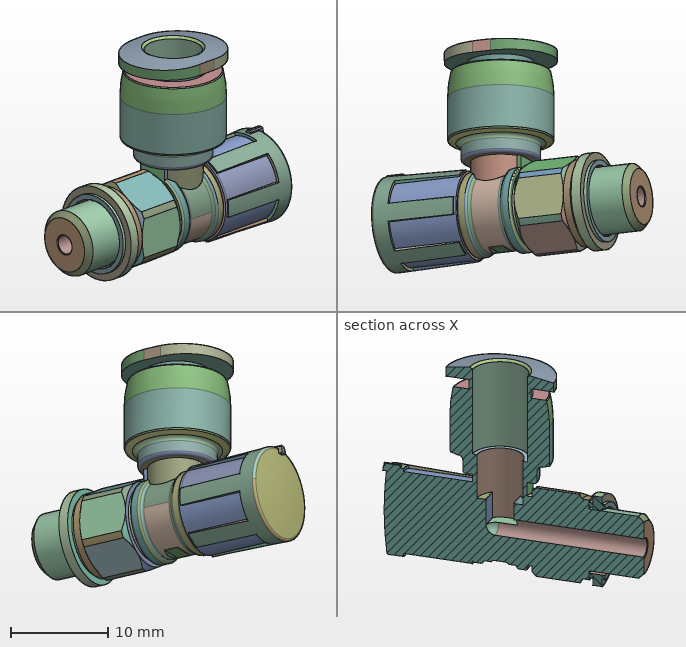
import cadquery as cq


overall_length = 28.7

tip_y = -15.85
thread_radius = 3.5
tip_radius = 2.9
tip_chamfer_length = 0.63
bore_radius = 2.0 / 2
bore_mouth_chamfer = 0.1
bore_end_centre_y = 0.5

shoulder_y = -9.8
shoulder_radius = 4.5
hex_front_y = -9.05
hex_back_y = -3.5
hex_across_flats = 2 * shoulder_radius
hex_corner_radius = 5.0
hex_end_radius = shoulder_radius
hex_front_chamfer_length = 0.25
hex_back_chamfer_length = 0.5
neck_radius = 3.93

waist_radius = 4.1
waist_half_length = 1.52
band_radius = 4.45
band_edge_fillet = 0.2
band_start = 2.12
tee_half_length = 3.0
band_curve_middle = 1.86
band_curve_middle_radius = 4.27
flat_depth = 0.2
flat_half_length = 0.77
flat_half_end_length = flat_half_length + flat_depth

grip_radius = 4.62
rim_front_y = 10.53
rim_back_y = 12.16
rim_back_radius = 5.0
dome_edge_radius = 4.73
dome_edge_y = 12.42
dome_top_y = 12.7
rib_count = 6
rib_width = 1.9
rib_start_y = 3.27
rib_start_radius = 4.8
first_rib_angle = 30

pointer_width = 0.65
pointer_chamfer = 0.15
pointer_front_y = 10.93
pointer_back_y = tip_y + overall_length
pointer_top_z = 5.25
pointer_top_back_y = 12.68
pointer_slope_bottom_z = 4.65
pointer_bottom_z = 4.35
pointer_root_y = 12.35
pointer_root_z = 4.85

stem_radius = 3.1
stem_pad_width = 3.45

collar_bottom_z = 5.4
collar_radius = 4.1
collar_edge_fillet = 0.35
collar_top_z = 6.89
flare_z = 7.35
flare_radius = 4.65
housing_corner_z = 7.57
housing_corner_radius = 5.42
housing_bottom_z = 7.75
housing_radius = 11.0 / 2
barrel_start_z = 12.16
housing_top_z = 14.98
housing_top_radius = 5.15
housing_top_chamfer = 0.11

button_sleeve_radius = 6.85 / 2
button_bottom_z = 15.98
button_top_z = 17.47
button_rim_z = 17.05
button_length = 11.82
button_width = 9.8

socket_radius = 6.0 / 2
socket_mouth_chamfer = 0.25
socket_mouth_radius = socket_radius + socket_mouth_chamfer
socket_floor_z = housing_bottom_z
passage_radius = 5.0 / 2
passage_floor_z = 2.87
slot_width = 3.05

gasket_length = 1.75
gasket_flange_length = 1.05
gasket_flange_radius = 5.05
gasket_lip_radius = 4.25
gasket_hole_radius = 3.7
tab_count = 5
tab_width = 1.4
first_tab_angle = 90


def ring_about_y(inner_radius, outer_radius, start_y, end_y):
    """A plain ring around the body axis."""
    return (
        cq.Workplane("XZ", origin=(0, start_y, 0))
        .circle(outer_radius)
        .circle(inner_radius)
        .extrude(start_y - end_y)
    )


def make_turned_core():
    """Everything round about the body axis, from thread tip to knob, without the hexagon."""
    band_face_radius = band_radius - band_edge_fillet
    band_edge_y = tee_half_length - band_edge_fillet
    dome_middle_radius = dome_edge_radius / 2
    dome_middle_y = dome_top_y - (dome_top_y - dome_edge_y) / 4
    profile = (
        cq.Workplane("XY")
        .moveTo(0, tip_y)
        .lineTo(tip_radius, tip_y)
        .lineTo(thread_radius, tip_y + tip_chamfer_length)
        .lineTo(thread_radius, shoulder_y)
        .lineTo(shoulder_radius, shoulder_y)
        .lineTo(shoulder_radius, hex_front_y)
        .lineTo(neck_radius, hex_front_y)
        .lineTo(neck_radius, -tee_half_length)
        .lineTo(band_face_radius, -tee_half_length)
        .radiusArc((band_radius, -band_edge_y), -band_edge_fillet)
        .lineTo(band_radius, -band_start)
        .tangentArcPoint((band_curve_middle_radius, -band_curve_middle), relative=False)
        .tangentArcPoint((waist_radius, -waist_half_length), relative=False)
        .lineTo(waist_radius, waist_half_length)
        .tangentArcPoint((band_curve_middle_radius, band_curve_middle), relative=False)
        .tangentArcPoint((band_radius, band_start), relative=False)
        .lineTo(band_radius, band_edge_y)
        .radiusArc((band_face_radius, tee_half_length), -band_edge_fillet)
        .lineTo(grip_radius, tee_half_length)
        .lineTo(grip_radius, rib_start_y)
        .lineTo(rib_start_radius, rib_start_y)
        .lineTo(rim_back_radius, rim_back_y)
        .tangentArcPoint((dome_edge_radius, dome_edge_y), relative=False)
        .threePointArc((dome_middle_radius, dome_middle_y), (0, dome_top_y))
        .close()
    )
    return profile.revolve(360, (0, 0, 0), (0, 1, 0))


def make_hexagon():
    """Hexagon with two faces square to X, its corners turned off and both ends chamfered."""
    prism = (
        cq.Workplane("XZ", origin=(0, hex_back_y, 0))
        .polygon(6, hex_across_flats, circumscribed=True)
        .extrude(hex_back_y - hex_front_y)
    )
    envelope = (
        cq.Workplane("XY")
        .moveTo(0, hex_front_y)
        .lineTo(hex_end_radius, hex_front_y)
        .lineTo(hex_corner_radius, hex_front_y + hex_front_chamfer_length)
        .lineTo(hex_corner_radius, hex_back_y - hex_back_chamfer_length)
        .lineTo(hex_end_radius, hex_back_y)
        .lineTo(0, hex_back_y)
        .close()
        .revolve(360, (0, 0, 0), (0, 1, 0))
    )
    return prism.intersect(envelope)


def make_grip_recesses():
    """Recesses between the knob ribs, as a ring with a bar left out for each rib."""
    rib_length = rim_front_y - rib_start_y
    recesses = ring_about_y(grip_radius, rim_back_radius, rib_start_y, rim_front_y)
    bar = (
        cq.Workplane("XY")
        .box(rib_width, rib_length, rim_back_radius, centered=(True, False, False))
        .translate((0, rib_start_y, 0))
    )
    for index in range(rib_count):
        angle = first_rib_angle + index * 360 / rib_count
        recesses = recesses.cut(bar.rotate((0, 0, 0), (0, 1, 0), angle))
    return recesses


def make_pointer():
    """Small index mark that wraps over the top edge of the knob."""
    return (
        cq.Workplane("YZ")
        .moveTo(pointer_front_y, pointer_root_z)
        .lineTo(pointer_front_y, pointer_top_z)
        .lineTo(pointer_top_back_y, pointer_top_z)
        .lineTo(pointer_back_y, pointer_slope_bottom_z)
        .lineTo(pointer_back_y, pointer_bottom_z)
        .lineTo(pointer_root_y, pointer_bottom_z)
        .lineTo(pointer_root_y, pointer_root_z)
        .close()
        .extrude(pointer_width / 2, both=True)
        .faces(">Z")
        .edges("|Y")
        .chamfer(pointer_chamfer)
    )


def make_stem():
    """Upright stem with a flat pad at the front, flush with the end of the tee."""
    stem = cq.Workplane("XY").circle(stem_radius).extrude(collar_bottom_z)
    pad = (
        cq.Workplane("XY")
        .rect(stem_pad_width, tee_half_length)
        .extrude(collar_bottom_z)
        .translate((0, -tee_half_length / 2, 0))
    )
    limit = cq.Workplane("XY").rect(2 * stem_radius, 2 * tee_half_length).extrude(collar_bottom_z)
    return stem.union(pad).intersect(limit)


def make_housing():
    """Round port housing, with the sleeve of the release button standing out of it."""
    barrel_top_z = housing_top_z - housing_top_chamfer
    barrel_middle_z = (barrel_start_z + barrel_top_z) / 2
    barrel_middle_radius = housing_radius - (housing_radius - housing_top_radius) / 4
    return (
        cq.Workplane("XZ")
        .moveTo(0, collar_bottom_z)
        .lineTo(collar_radius - collar_edge_fillet, collar_bottom_z)
        .radiusArc((collar_radius, collar_bottom_z + collar_edge_fillet), -collar_edge_fillet)
        .lineTo(collar_radius, collar_top_z)
        .tangentArcPoint((flare_radius, flare_z), relative=False)
        .lineTo(housing_corner_radius, housing_corner_z)
        .lineTo(housing_radius, housing_bottom_z)
        .lineTo(housing_radius, barrel_start_z)
        .threePointArc((barrel_middle_radius, barrel_middle_z), (housing_top_radius, barrel_top_z))
        .lineTo(housing_top_radius - housing_top_chamfer, housing_top_z)
        .lineTo(button_sleeve_radius, housing_top_z)
        .lineTo(button_sleeve_radius, button_bottom_z)
        .lineTo(0, button_bottom_z)
        .close()
        .revolve(360, (0, 0, 0), (0, 1, 0))
    )


def make_button_flange():
    """Oblong flange of the release button, with a shallow conical top."""
    flange_height = button_top_z - button_bottom_z
    oblong = (
        cq.Workplane("XY", origin=(0, 0, button_bottom_z))
        .slot2D(button_length, button_width, 90)
        .extrude(flange_height)
    )
    cone = (
        cq.Workplane("XZ")
        .moveTo(0, button_bottom_z)
        .lineTo(button_length / 2, button_bottom_z)
        .lineTo(button_length / 2, button_rim_z)
        .lineTo(socket_mouth_radius, button_top_z)
        .lineTo(0, button_top_z)
        .close()
        .revolve(360, (0, 0, 0), (0, 1, 0))
    )
    return oblong.intersect(cone)


def make_socket():
    """Tube socket, the passage below it and the slot that opens into the bore."""
    round_part = (
        cq.Workplane("XZ")
        .moveTo(0, passage_floor_z)
        .lineTo(passage_radius, passage_floor_z)
        .lineTo(passage_radius, socket_floor_z)
        .lineTo(socket_radius, socket_floor_z)
        .lineTo(socket_radius, button_top_z - socket_mouth_chamfer)
        .lineTo(socket_mouth_radius, button_top_z)
        .lineTo(0, button_top_z)
        .close()
        .revolve(360, (0, 0, 0), (0, 1, 0))
    )
    slot = (
        cq.Workplane("XY")
        .circle(passage_radius)
        .extrude(passage_floor_z)
        .intersect(cq.Workplane("XY").rect(2 * passage_radius, slot_width).extrude(passage_floor_z))
    )
    return round_part.union(slot)


def make_bore():
    """Blind bore from the thread tip, with a ball end and a chamfered mouth."""
    straight = (
        cq.Workplane("XZ", origin=(0, bore_end_centre_y, 0))
        .circle(bore_radius)
        .extrude(bore_end_centre_y - tip_y)
    )
    mouth_radius = bore_radius + bore_mouth_chamfer
    mouth = cq.Workplane(cq.Solid.makeCone(
        mouth_radius, bore_radius, bore_mouth_chamfer, cq.Vector(0, tip_y, 0), cq.Vector(0, 1, 0)
    ))
    ball = cq.Workplane("XY", origin=(0, bore_end_centre_y, 0)).sphere(bore_radius)
    return straight.union(ball).union(mouth)


def make_underside_flat():
    """Flat with sloping ends across the underside of the tee waist."""
    floor_z = flat_depth - waist_radius
    return (
        cq.Workplane("YZ")
        .moveTo(-flat_half_length, floor_z)
        .lineTo(flat_half_length, floor_z)
        .lineTo(flat_half_end_length, -waist_radius)
        .lineTo(-flat_half_end_length, -waist_radius)
        .close()
        .extrude(waist_radius, both=True)
    )


def make_fitting():
    """The one-piece fitting, from thread to knob and up to the release button."""
    return (
        make_turned_core()
        .cut(make_underside_flat())
        .cut(make_grip_recesses())
        .union(make_hexagon())
        .union(make_pointer())
        .union(make_stem())
        .union(make_housing())
        .union(make_button_flange())
        .cut(make_socket())
        .cut(make_bore())
    )


def make_gasket():
    """Flanged sealing ring against the shoulder, centred on the thread by inner tabs."""
    front_y = shoulder_y - gasket_length
    lip_length = (gasket_length - gasket_flange_length) / 2
    flange_front_y = front_y + lip_length
    flange_back_y = shoulder_y - lip_length
    lips = ring_about_y(gasket_hole_radius, gasket_lip_radius, front_y, shoulder_y)
    flange = ring_about_y(gasket_hole_radius, gasket_flange_radius, flange_front_y, flange_back_y)
    gasket = lips.union(flange)

    tab_ring = ring_about_y(thread_radius, gasket_lip_radius, flange_front_y, flange_back_y)
    bar = cq.Workplane("XY").box(
        gasket_lip_radius, gasket_flange_length, tab_width, centered=(False, False, True)
    )
    tab = bar.translate((0, flange_front_y, 0)).intersect(tab_ring)
    for index in range(tab_count):
        angle = first_tab_angle + index * 360 / tab_count
        gasket = gasket.union(tab.rotate((0, 0, 0), (0, 1, 0), -angle))
    return gasket


fitting = make_fitting()
gasket = make_gasket()

result = cq.Compound.makeCompound([fitting.solids().val(), gasket.solids().val()])